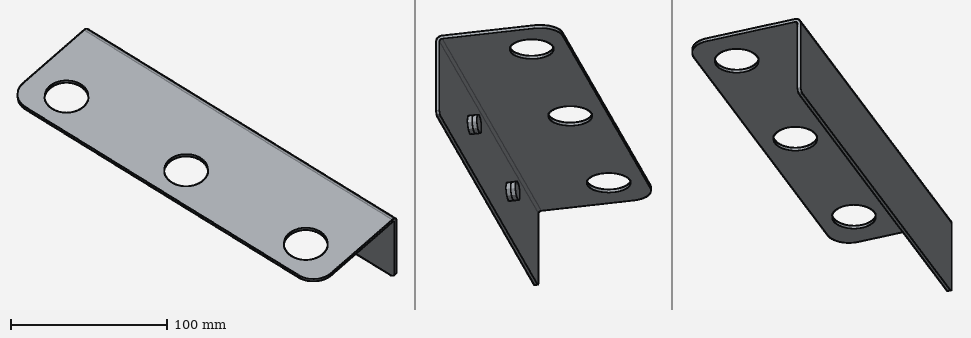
import cadquery as cq

length = 258.0
depth = 80.0
height = 56.0
thickness = 2.3
inner_bend_radius = 1.8
outer_bend_radius = inner_bend_radius + thickness
shelf_corner_radius = 15.0
wall_corner_radius = 3.0

pitch = 100.0
hole_diameter = 28.0
hole_from_front = 24.0

stud_x_positions = [-pitch / 2, pitch / 2]
stud_z = -26.0
stud_diameter = 12.0
spacer_length = 3.0
cap_rim_length = 3.0
dome_rise = 0.5


def make_bracket():
    """Bent angle with rounded free corners and three holes through the shelf."""
    bracket = (
        cq.Workplane("YZ")
        .moveTo(-depth, 0)
        .lineTo(-outer_bend_radius, 0)
        .radiusArc((0, -outer_bend_radius), outer_bend_radius)
        .lineTo(0, -height)
        .lineTo(-thickness, -height)
        .lineTo(-thickness, -outer_bend_radius)
        .radiusArc((-outer_bend_radius, -thickness), -inner_bend_radius)
        .lineTo(-depth, -thickness)
        .close()
        .extrude(length / 2, both=True)
    )
    bracket = bracket.faces("<Y").edges("|Z").fillet(shelf_corner_radius)
    bracket = bracket.faces("<Z").edges("|Y").fillet(wall_corner_radius)
    hole_y = hole_from_front - depth
    holes = (
        cq.Workplane("XY")
        .pushPoints([(-pitch, hole_y), (0, hole_y), (pitch, hole_y)])
        .circle(hole_diameter / 2)
        .extrude(-thickness)
    )
    return bracket.cut(holes)


def make_spacer(x):
    """Plain disc standing on the front face of the wall."""
    return (
        cq.Workplane("XZ", origin=(x, -thickness, stud_z))
        .circle(stud_diameter / 2)
        .extrude(spacer_length)
    )


def make_cap(x):
    """Disc with a shallow domed front, revolved about the stud axis."""
    radius = stud_diameter / 2
    dome_radius = (radius**2 + dome_rise**2) / (2 * dome_rise)
    return (
        cq.Workplane("XY", origin=(x, -thickness - spacer_length, stud_z))
        .lineTo(radius, 0)
        .lineTo(radius, -cap_rim_length)
        .radiusArc((0, -cap_rim_length - dome_rise), dome_radius)
        .close()
        .revolve(360, (0, 0), (0, 1))
    )


bracket = make_bracket()
spacers = [make_spacer(x) for x in stud_x_positions]
caps = [make_cap(x) for x in stud_x_positions]

result = cq.Compound.makeCompound(
    [bracket.val()]
    + [spacer.val() for spacer in spacers]
    + [cap.val() for cap in caps]
)